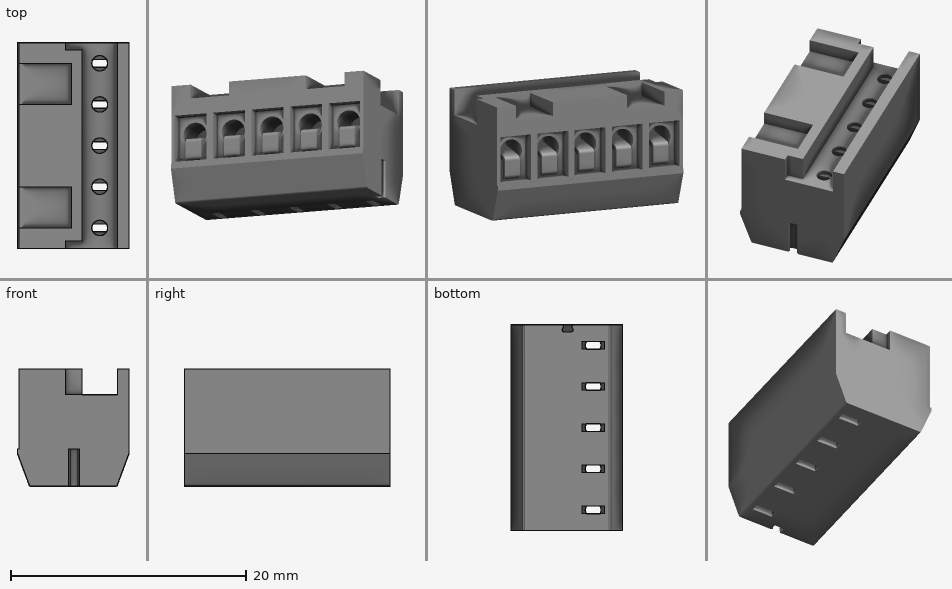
import cadquery as cq
import math

POLES = 5
PITCH = 3.5
DEPTH = 9.5
LENGTH = POLES * PITCH
HEIGHT = 10.0

LIP = 0.12
LIP_TOP_Z = 3.2
BEVEL_TOP_Z = 2.8
BEVEL_RUN = 1.04
BASE_EDGE_RADIUS = 0.18
TROUGH_FLOOR_Z = 7.8
TROUGH_FRONT_X = 5.5
REAR_WALL = 1.0

NOTCH_X = 4.1
NOTCH_WIDTH = 0.62
RECESS_END_X = 4.6
RECESS_DEPTH = 1.2
RECESS_OFFSET = 1.5 * PITCH

WINDOW_WIDTH = 2.9
WINDOW_BOTTOM_Z = 3.4
WINDOW_TOP_Z = 7.4
WINDOW_BACK_X = LIP + 1.1
PANEL_WIDTH = 2.75
PANEL_BOTTOM_Z = 3.82
PANEL_STEP = 0.08
PANEL_X = WINDOW_BACK_X - PANEL_STEP
WIRE_HOLE_DIAMETER = 2.12
WIRE_HOLE_Z = 5.83
WIRE_HOLE_END_X = 4.2

TONGUE_WIDTH = 1.4
TONGUE_RADIUS = 0.37
TONGUE_RAMP_ANGLE = math.radians(10)
TONGUE_BOTTOM_Z = 3.52
TONGUE_FACE_TOP_Z = 5.14

SCREW_X = 7.0
SCREW_DIAMETER = 1.32
SCREW_SINK_DEPTH = 0.4
SCREW_SLOT_WIDTH = 0.63
SCREW_SLOT_LENGTH = 1.9

GROOVE_X = 4.83
GROOVE_TOP_Z = LIP_TOP_Z
GROOVE_MOUTH_WIDTH = 0.94
GROOVE_NECK_WIDTH = 0.68
GROOVE_INNER_WIDTH = 1.12
GROOVE_DEPTH = 0.6
GROOVE_CORNER_RADIUS = 0.15

pole_positions = [(i - (POLES - 1) / 2) * PITCH for i in range(POLES)]


def block(x0, x1, y_mid, width, z0, z1):
    """Box from x0 to x1 and z0 to z1, centred on y_mid."""
    box = cq.Workplane("XY").box(x1 - x0, width, z1 - z0, centered=(False, True, False))
    return box.translate((x0, y_mid, z0))


def housing():
    profile = [
        (BEVEL_RUN, 0),
        (DEPTH - BEVEL_RUN, 0),
        (DEPTH, BEVEL_TOP_Z),
        (DEPTH, HEIGHT),
        (DEPTH - REAR_WALL, HEIGHT),
        (DEPTH - REAR_WALL, TROUGH_FLOOR_Z),
        (TROUGH_FRONT_X, TROUGH_FLOOR_Z),
        (TROUGH_FRONT_X, HEIGHT),
        (LIP, HEIGHT),
        (LIP, LIP_TOP_Z),
        (0, LIP_TOP_Z),
        (0, BEVEL_TOP_Z),
    ]
    body = cq.Workplane("XZ").polyline(profile).close().extrude(LENGTH / 2, both=True)
    return body.faces("<Z").edges("|Y").fillet(BASE_EDGE_RADIUS)


def ridge_notch(side):
    y_mid = side * (LENGTH - NOTCH_WIDTH) / 2
    return block(NOTCH_X, TROUGH_FRONT_X, y_mid, NOTCH_WIDTH, TROUGH_FLOOR_Z, HEIGHT)


def top_recess(side):
    y_mid = side * RECESS_OFFSET
    return block(LIP, RECESS_END_X, y_mid, PITCH, HEIGHT - RECESS_DEPTH, HEIGHT)


def wire_entry(y):
    window = block(LIP, WINDOW_BACK_X, y, WINDOW_WIDTH, WINDOW_BOTTOM_Z, WINDOW_TOP_Z)
    panel = block(PANEL_X, WINDOW_BACK_X, y, PANEL_WIDTH, PANEL_BOTTOM_Z, WINDOW_TOP_Z)
    hole = (
        cq.Workplane("YZ", origin=(LIP, y, WIRE_HOLE_Z))
        .circle(WIRE_HOLE_DIAMETER / 2)
        .extrude(WIRE_HOLE_END_X - LIP)
    )
    return window.cut(panel).union(hole)


def contact_tongue(y):
    face_x = PANEL_X - TONGUE_RADIUS
    bottom_centre_z = TONGUE_BOTTOM_Z + TONGUE_RADIUS
    bottom_diagonal = TONGUE_RADIUS * math.sqrt(0.5)
    bottom_mid = (PANEL_X - bottom_diagonal, bottom_centre_z - bottom_diagonal)

    half_turn = (math.pi / 2 - TONGUE_RAMP_ANGLE) / 2

    def crest_point(turn):
        x = PANEL_X - TONGUE_RADIUS * math.cos(turn)
        z = TONGUE_FACE_TOP_Z + TONGUE_RADIUS * math.sin(turn)
        return (x, z)

    ramp_start_x, ramp_start_z = crest_point(2 * half_turn)
    ramp_end_z = ramp_start_z + (WIRE_HOLE_END_X - ramp_start_x) * math.tan(TONGUE_RAMP_ANGLE)
    return (
        cq.Workplane("XZ", origin=(0, y, 0))
        .moveTo(WIRE_HOLE_END_X, TONGUE_BOTTOM_Z)
        .lineTo(PANEL_X, TONGUE_BOTTOM_Z)
        .threePointArc(bottom_mid, (face_x, bottom_centre_z))
        .lineTo(face_x, TONGUE_FACE_TOP_Z)
        .threePointArc(crest_point(half_turn), (ramp_start_x, ramp_start_z))
        .lineTo(WIRE_HOLE_END_X, ramp_end_z)
        .close()
        .extrude(TONGUE_WIDTH / 2, both=True)
    )


def screw_opening(y):
    sink_floor_z = TROUGH_FLOOR_Z - SCREW_SINK_DEPTH
    sink_floor = cq.Workplane("XY", origin=(SCREW_X, y, sink_floor_z))
    sink = sink_floor.circle(SCREW_DIAMETER / 2).extrude(SCREW_SINK_DEPTH)
    slot_start_x = SCREW_X - SCREW_SLOT_LENGTH / 2
    slot = block(slot_start_x, slot_start_x + SCREW_SLOT_LENGTH, y, SCREW_SLOT_WIDTH, 0, sink_floor_z)
    return sink.union(slot)


def dovetail_groove():
    mouth = GROOVE_MOUTH_WIDTH / 2
    neck = GROOVE_NECK_WIDTH / 2
    inner = GROOVE_INNER_WIDTH / 2
    neck_depth = mouth - neck
    outline = [
        (-mouth, 0),
        (mouth, 0),
        (neck, neck_depth),
        (inner, GROOVE_DEPTH),
        (-inner, GROOVE_DEPTH),
        (-neck, neck_depth),
    ]
    base = cq.Workplane("XY", origin=(GROOVE_X, -LENGTH / 2, 0))
    groove = base.polyline(outline).close().extrude(GROOVE_TOP_Z)
    return groove.faces(">Y").edges("|Z").fillet(GROOVE_CORNER_RADIUS)


result = housing().cut(dovetail_groove())
for side in (-1, 1):
    result = result.cut(ridge_notch(side)).cut(top_recess(side))
for y in pole_positions:
    result = result.cut(wire_entry(y)).union(contact_tongue(y)).cut(screw_opening(y))